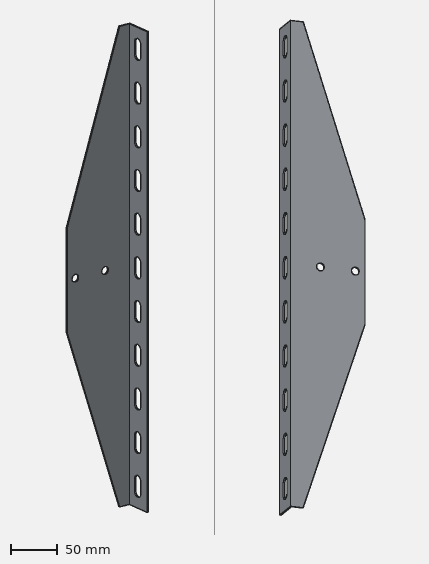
import cadquery as cq

height = 550.0
flange_width = 33.0
web_depth = 86.0
thickness = 2.0

front_edge_height = 120.0
straight_end_depth = 15.0

slot_count = 11
slot_pitch = height / slot_count
slot_length = 25.0
slot_width = 11.0
slot_center_x = flange_width / 2

hole_diameter = 9.0
front_hole_inset = 11.0
hole_spacing = 40.0


def make_flange():
    """Flat strip at the back, its outer face on y = 0."""
    strip = cq.Workplane("XY").box(flange_width, thickness, height, centered=(False, False, True))
    return strip.translate((0, -thickness, 0))


def make_web():
    """Tapered plate standing forward from the flange edge."""
    half_height = height / 2
    half_front = front_edge_height / 2
    outline = [
        (0, -half_height),
        (0, half_height),
        (-straight_end_depth, half_height),
        (-web_depth, half_front),
        (-web_depth, -half_front),
        (-straight_end_depth, -half_height),
    ]
    return cq.Workplane("YZ").polyline(outline).close().extrude(thickness)


def make_slots():
    """Evenly spaced slots, cut through the flange along Y."""
    middle = (slot_count - 1) / 2
    centers = [(slot_center_x, (i - middle) * slot_pitch) for i in range(slot_count)]
    return cq.Workplane("XZ").pushPoints(centers).slot2D(slot_length, slot_width, 90).extrude(thickness)


def make_web_holes():
    """Two holes at mid-height, cut through the web along X."""
    front_hole_y = front_hole_inset - web_depth
    centers = [(front_hole_y, 0), (front_hole_y + hole_spacing, 0)]
    return cq.Workplane("YZ").pushPoints(centers).circle(hole_diameter / 2).extrude(thickness)


result = make_flange().union(make_web()).cut(make_slots()).cut(make_web_holes())